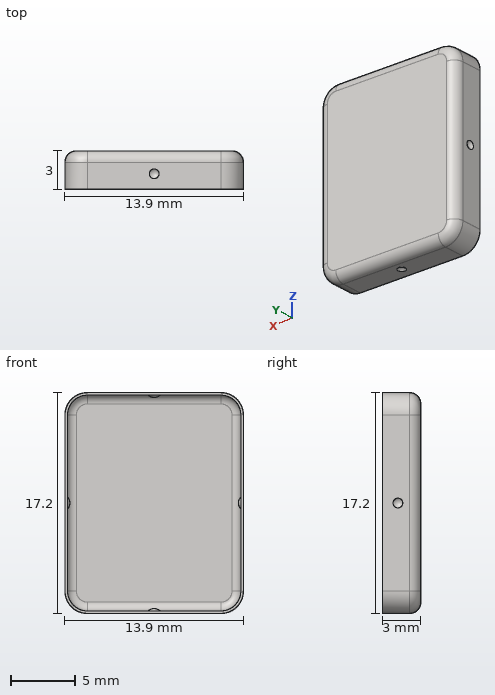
import cadquery as cq
import math

width = 13.9
depth = 3.0
height = 17.2
wall = 0.2
corner_radius = 1.75
floor_radius = 0.9

dimple_radius = 0.38
dimple_depth = 0.19
dimple_rim_offset = 1.2

rim_y = -depth / 2
dimple_y = rim_y + dimple_rim_offset
dimple_sphere_radius = (dimple_radius**2 + dimple_depth**2) / (2 * dimple_depth)
bump_sphere_radius = dimple_sphere_radius + wall
sphere_offset = dimple_sphere_radius - dimple_depth
bump_base_radius = math.sqrt(bump_sphere_radius**2 - (sphere_offset + wall)**2)


def rounded_block(inset):
    """Solid block inset from the outer form, with the open rim plane kept fixed."""
    return (
        cq.Workplane("XZ", origin=(0, rim_y, 0))
        .rect(width - 2 * inset, height - 2 * inset)
        .extrude(-(depth - inset))
        .edges("|Y")
        .fillet(corner_radius - inset)
        .faces(">Y")
        .edges()
        .fillet(floor_radius - inset)
    )


def wall_plane(x_side, z_side):
    """Plane on the outer wall surface at a dimple centre, with its normal outward."""
    origin = (x_side * width / 2, dimple_y, z_side * height / 2)
    return cq.Plane(origin=origin, xDir=(0, 1, 0), normal=(x_side, 0, z_side))


def add_dimple(body, x_side, z_side):
    """Press a dimple into one wall, leaving a bump of equal thickness inside."""
    plane = wall_plane(x_side, z_side)
    outside = cq.Workplane(plane).workplane(offset=sphere_offset)
    bump = outside.sphere(bump_sphere_radius)
    bump_reach = wall + dimple_depth
    bump_envelope = (
        cq.Workplane(plane)
        .workplane(offset=-wall / 2)
        .circle(bump_base_radius)
        .extrude(-bump_reach)
    )
    hollow = outside.sphere(dimple_sphere_radius)
    return body.union(bump.intersect(bump_envelope)).cut(hollow)


result = rounded_block(0).cut(rounded_block(wall))
for x_side, z_side in ((-1, 0), (1, 0), (0, -1), (0, 1)):
    result = add_dimple(result, x_side, z_side)